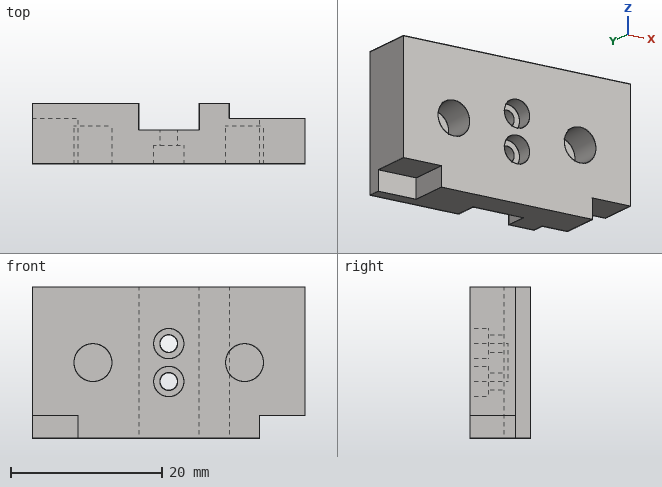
import cadquery as cq

length = 36.0
depth = 8.0
height = 20.0

notch_width = 6.0
notch_height = 3.0
notch_depth = 6.0

slot_start = 14.05
slot_width = 7.95
slot_depth = 3.5
step_start = 26.0
step_depth = depth - notch_depth

blind_diameter = 5.0
blind_depth = 5.0
blind_spacing = 20.0
screw_diameter = 2.3
counterbore_diameter = 4.0
counterbore_depth = 2.4
screw_spacing = 5.0


def box(x, y, z, size_x, size_y, size_z):
    """Box whose lowest corner is at (x, y, z)."""
    return cq.Workplane("XY").box(size_x, size_y, size_z, centered=False).translate((x, y, z))


body = box(0, 0, 0, length, depth, height)

for notch_x in (0, length - notch_width):
    body = body.cut(box(notch_x, 0, 0, notch_width, notch_depth, notch_height))

body = body.cut(box(slot_start, depth - slot_depth, 0, slot_width, slot_depth, height))
body = body.cut(box(step_start, depth - step_depth, 0, length - step_start, step_depth, height))

front = cq.Workplane("XZ", origin=(length / 2, 0, height / 2))
blind_points = [(-blind_spacing / 2, 0), (blind_spacing / 2, 0)]
screw_points = [(0, -screw_spacing / 2), (0, screw_spacing / 2)]


def front_holes(points, diameter, hole_depth):
    """Cylinders running from the front face into the block."""
    return front.pushPoints(points).circle(diameter / 2).extrude(-hole_depth)


body = body.cut(front_holes(blind_points, blind_diameter, blind_depth))
body = body.cut(front_holes(screw_points, counterbore_diameter, counterbore_depth))
body = body.cut(front_holes(screw_points, screw_diameter, depth))

result = body